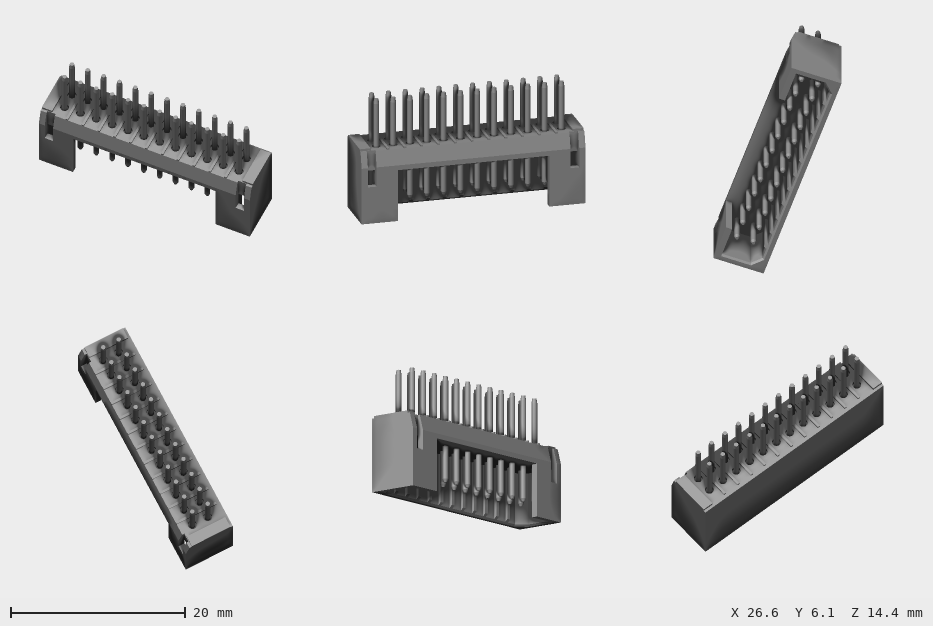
import cadquery as cq
import math

length = 26.6
depth = 6.1
top = 8.62
wall = 0.75

slope_depth = 0.48
slope_height = 1.84

cavity_height = 6.2
cavity_corner = 1.06
rim_bevel = 0.2
rim_bevel_angle = 45

opening_length = 18.0

slot_width = 1.05
slot_bottom = 4.45

pad_length = 1.3
pad_height = 0.27
pad_front = 0.8
pad_back = 0.32

pins_per_row = 12
pin_span = 22.0
pin_pitch = pin_span / (pins_per_row - 1)
row_gap = 2.0
pin_diameter = 0.66
pin_bottom = 2.0
pin_top = 14.4
upper_tip_length = 0.53
upper_tip_inset = 0.08
lower_tip_length = 0.37
lower_tip_inset = 0.15
recess_diameter = 1.0
recess_depth = 0.4

top_rib_width = 0.3
top_rib_height = 0.19
top_rib_back = 0.45
wall_rib_width = 0.48
wall_rib_depth = 0.32

pin_xs = [-pin_span / 2 + i * pin_pitch for i in range(pins_per_row)]
rib_xs = [x + pin_pitch / 2 for x in pin_xs[:-1]]
pin_points = [(x, depth / 2 + side * row_gap / 2) for x in pin_xs for side in (-1, 1)]
cavity_back = depth - wall


def box(x_min, x_max, y_min, y_max, z_min, z_max):
    """Axis-aligned block given by its limits."""
    size = (x_max - x_min, y_max - y_min, z_max - z_min)
    return cq.Workplane("XY").box(*size, centered=False).translate((x_min, y_min, z_min))


def side_profile(points, x_length, x_centre=0.0):
    """Extrude a (Y, Z) outline by x_length along X, centred on x_centre."""
    solid = cq.Workplane("YZ").polyline(points).close().extrude(x_length / 2, both=True)
    return solid.translate((x_centre, 0, 0))


def make_shell():
    """Outer block with its sloped upper front edge."""
    outline = [
        (0, 0),
        (depth, 0),
        (depth, top),
        (slope_depth, top),
        (0, top - slope_height),
    ]
    return side_profile(outline, length)


def cavity_plan(front, height, grow=0.0, taper=0.0):
    """Prism from the bottom with the cavity's plan shape, grown sideways and backwards by grow."""
    half = length / 2 - wall + grow
    back = cavity_back + grow
    corner = cavity_corner + grow * (2 - math.sqrt(2))
    outline = [
        (-half, front),
        (half, front),
        (half, back - corner),
        (half - corner, back),
        (corner - half, back),
        (-half, back - corner),
    ]
    return cq.Workplane("XY").polyline(outline).close().extrude(height, taper=taper)


def make_cavity():
    """Cavity with cut-off back corners and a 45 degree lead-in bevel along its ends and back."""
    mouth = cavity_plan(wall - rim_bevel, rim_bevel, grow=rim_bevel, taper=rim_bevel_angle)
    mouth = mouth.intersect(box(-length / 2, length / 2, wall, depth, 0, rim_bevel))
    return cavity_plan(wall, cavity_height).union(mouth)


def make_wall_rib(x):
    """Rib inside the back wall, its foot continuing the lead-in bevel."""
    rib_front = cavity_back - wall_rib_depth
    outline = [
        (rib_front, rim_bevel + wall_rib_depth),
        (cavity_back + rim_bevel, 0),
        (depth, 0),
        (depth, cavity_height),
        (rib_front, cavity_height),
    ]
    return side_profile(outline, wall_rib_width, x)


def make_top_rib(x):
    """Low rib across the top face, running back from the sloped edge."""
    half = top_rib_width / 2
    return box(x - half, x + half, slope_depth, depth - top_rib_back, top, top + top_rib_height)


def add_end_details(body):
    """Add pads on the top face and cut slots through the front wall, at both ends."""
    half = length / 2
    for side in (-1, 1):
        pad_start, pad_end = sorted((side * half, side * (half - pad_length)))
        body = body.union(box(pad_start, pad_end, pad_front, depth - pad_back, top, top + pad_height))
        slot_start, slot_end = sorted((side * (half - wall), side * (half - wall - slot_width)))
        body = body.cut(box(slot_start, slot_end, 0, wall, slot_bottom, top))
    return body


def make_pins():
    """All round pins, tapered at both ends."""
    pins = cq.Workplane("XY", origin=(0, 0, pin_bottom)).pushPoints(pin_points)
    pins = pins.circle(pin_diameter / 2).extrude(pin_top - pin_bottom)
    pins = pins.faces(">Z").edges().chamfer(upper_tip_length, upper_tip_inset)
    return pins.faces("<Z").edges().chamfer(lower_tip_length, lower_tip_inset)


body = make_shell().cut(make_cavity())
body = body.cut(box(-opening_length / 2, opening_length / 2, 0, wall, 0, cavity_height))
for rib_x in rib_xs:
    body = body.union(make_wall_rib(rib_x)).union(make_top_rib(rib_x))
body = add_end_details(body)

recesses = cq.Workplane("XY", origin=(0, 0, top)).pushPoints(pin_points)
recesses = recesses.circle(recess_diameter / 2).extrude(-recess_depth)
result = body.cut(recesses).union(make_pins())